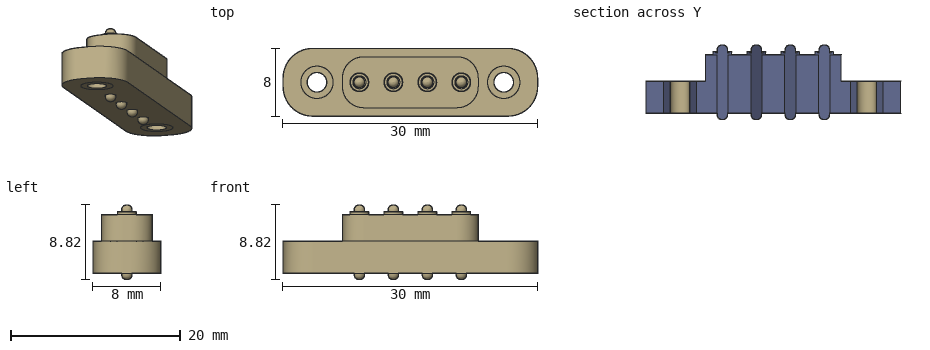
import cadquery as cq
import math

flange_length = 30.0
flange_width = 8.0
flange_height = 3.8
flange_corner_radius = 3.5
boss_length = 16.0
boss_width = 6.0
boss_height = 3.12
boss_corner_radius = 2.5
boss_top = flange_height + boss_height

bushing_spacing = 22.0
bushing_diameter = 3.8
bushing_bore = 2.28

pin_count = 4
pin_span = 12.0
pin_diameter = 1.25
collar_diameter = 2.22
collar_height = 0.35
collar_chamfer = 0.05
recess_diameter = 1.53
recess_depth = 0.18
tip_height = 1.15
tail_length = 0.75
end_rounding = 0.6

pin_pitch = pin_span / (pin_count - 1)
pin_radius = pin_diameter / 2
recess_radius = recess_diameter / 2
collar_radius = collar_diameter / 2
pin_xs = [i * pin_pitch - pin_span / 2 for i in range(pin_count)]
bushing_xs = [-bushing_spacing / 2, bushing_spacing / 2]


def rounded_block(length, width, height, corner_radius, base_z):
    """Upright block standing on base_z with rounded vertical edges."""
    block = cq.Workplane("XY", origin=(0, 0, base_z)).rect(length, width).extrude(height)
    return block.edges("|Z").fillet(corner_radius)


def make_housing():
    """Flange and boss in one piece, bored through for the pins and bushings."""
    flange = rounded_block(flange_length, flange_width, flange_height, flange_corner_radius, 0)
    boss = rounded_block(boss_length, boss_width, boss_height, boss_corner_radius, flange_height)
    bushing_holes = (
        cq.Workplane("XY")
        .pushPoints([(x, 0) for x in bushing_xs])
        .circle(bushing_diameter / 2)
        .extrude(flange_height)
    )
    pin_holes = (
        cq.Workplane("XY")
        .pushPoints([(x, 0) for x in pin_xs])
        .circle(pin_radius)
        .extrude(boss_top)
    )
    return flange.union(boss).cut(bushing_holes).cut(pin_holes)


def make_bushing(x):
    """Plain sleeve, flush with both faces of the flange."""
    return (
        cq.Workplane("XY", origin=(x, 0, 0))
        .circle(bushing_diameter / 2)
        .circle(bushing_bore / 2)
        .extrude(flange_height)
    )


def make_pin(x):
    """Straight pin with rounded ends and a recessed collar seated on the boss."""
    collar_top = boss_top + collar_height
    recess_floor = collar_top - recess_depth
    tip_top = boss_top + tip_height
    end_flat_radius = pin_radius - end_rounding
    arc_offset = end_rounding / math.sqrt(2)
    arc_mid_radius = end_flat_radius + arc_offset
    tip_centre = tip_top - end_rounding
    tail_centre = end_rounding - tail_length
    profile = (
        cq.Workplane("XZ", origin=(x, 0, 0))
        .moveTo(0, -tail_length)
        .lineTo(end_flat_radius, -tail_length)
        .threePointArc((arc_mid_radius, tail_centre - arc_offset), (pin_radius, tail_centre))
        .lineTo(pin_radius, boss_top)
        .lineTo(collar_radius, boss_top)
        .lineTo(collar_radius, collar_top - collar_chamfer)
        .lineTo(collar_radius - collar_chamfer, collar_top)
        .lineTo(recess_radius, collar_top)
        .lineTo(recess_radius, recess_floor)
        .lineTo(pin_radius, recess_floor)
        .lineTo(pin_radius, tip_centre)
        .threePointArc((arc_mid_radius, tip_centre + arc_offset), (end_flat_radius, tip_top))
        .lineTo(0, tip_top)
        .close()
    )
    return profile.revolve(360, (0, 0, 0), (0, 1, 0))


housing = make_housing()
bushings = [make_bushing(x) for x in bushing_xs]
pins = [make_pin(x) for x in pin_xs]

result = cq.Compound.makeCompound(
    [housing.val(), *[bushing.val() for bushing in bushings], *[pin.val() for pin in pins]]
)